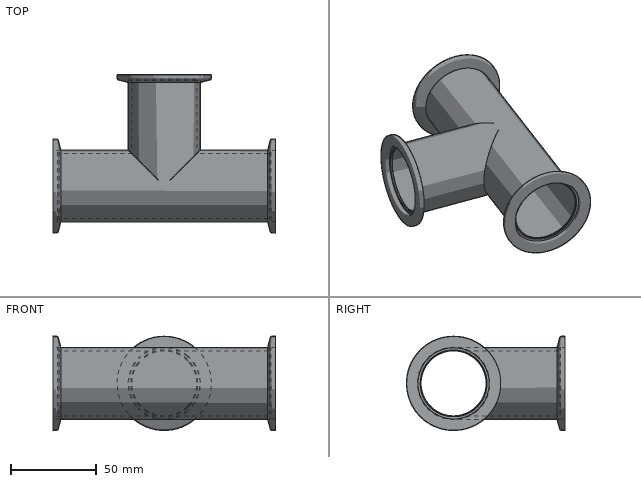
import cadquery as cq
import math

run_length = 130.0
port_reach = run_length / 2

tube_radius = 21.0
tube_bore_radius = 19.0

flange_diameter = 55.0
flange_radius = flange_diameter / 2
flange_thickness = 4.7
flange_bore_radius = 19.5
recess_radius = 20.8
recess_depth = 2.6
lip_thickness = 0.9
cone_angle = 15.0
rim_fillet = 1.3
face_edge_fillet = 0.3

cone_rise = (flange_radius - tube_radius) * math.tan(math.radians(cone_angle))
rim_width = flange_thickness - cone_rise

port_directions = [(-1, 0, 0), (1, 0, 0), (0, 1, 0)]
socket_floor = recess_depth + lip_thickness
tube_reach = port_reach - socket_floor


def tee_solid(radius):
    """Two crossing cylinders of one radius, ending at the socket floors."""
    run = cq.Workplane("YZ").circle(radius).extrude(tube_reach, both=True)
    branch = cq.Workplane("XZ").circle(radius).extrude(-tube_reach)
    return run.union(branch)


def make_tee():
    """Hollow tee tube."""
    return tee_solid(tube_radius).cut(tee_solid(tube_bore_radius))


def make_flange(direction):
    """Clamp flange with a conical back and a recess, lip and tube socket, facing along direction."""
    profile = (
        cq.Workplane("XZ")
        .moveTo(flange_bore_radius, recess_depth)
        .lineTo(recess_radius, recess_depth)
        .lineTo(recess_radius, 0)
        .lineTo(flange_radius, 0)
        .lineTo(flange_radius, rim_width)
        .lineTo(tube_radius, flange_thickness)
        .lineTo(tube_radius, socket_floor)
        .lineTo(flange_bore_radius, socket_floor)
        .close()
    )
    flange = profile.revolve(360, (0, 0, 0), (0, 1, 0))

    rim_edges = flange.edges(cq.selectors.RadiusNthSelector(-1))
    flange = rim_edges.edges(">Z").fillet(rim_fillet)
    flange = flange.faces("<Z").edges().fillet(face_edge_fillet)

    face_centre = cq.Vector(*direction) * port_reach
    inward = cq.Vector(*direction) * -1
    port_plane = cq.Plane(origin=face_centre, xDir=(0, 0, 1), normal=inward)
    return flange.val().moved(cq.Location(port_plane))


tee = make_tee()
flanges = [make_flange(direction) for direction in port_directions]

result = cq.Compound.makeCompound([tee.val(), *flanges])